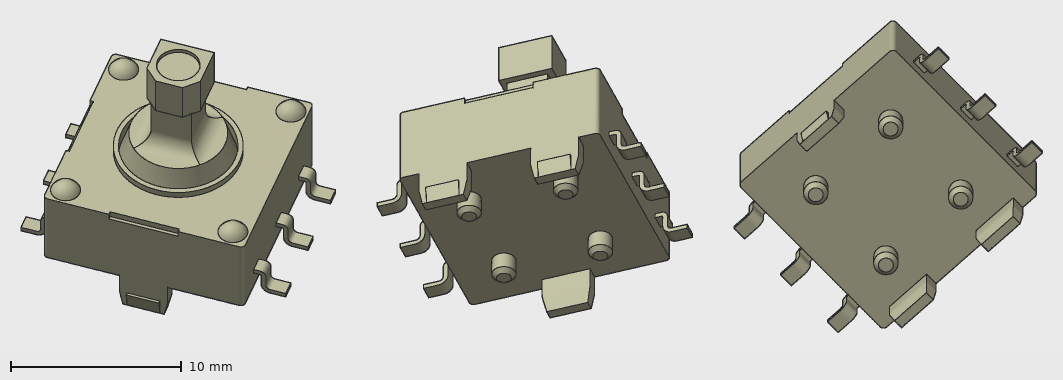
import cadquery as cq
import math

total_length = 16.4
total_depth = 12.8
total_height = 14.5

housing_side = 12.43
housing_height = 4.95
housing_corner_radius = 0.28
notch_length = 4.28
notch_height = 0.4
notch_depth = 0.21

collar_diameter = 7.61
collar_height = 0.41
collar_bore = 6.99
cone_top_diameter = 5.79
cone_top_z = 6.45
cone_slope = 0.32

neck_side = 2.53
neck_flare_radius = 1.0
head_side = 3.31
head_height = 2.5
head_corner_chamfer = 0.82
head_recess_diameter = 2.55
head_recess_depth = 0.25

dome_diameter = 1.75
dome_height = 0.55
dome_offset = 5.18

tab_width = 2.98
tab_thickness = 0.82
tab_height = 2.33
tab_taper = 0.21
tab_taper_height = 1.03
tab_blend_radius = 2.46
catch_width = 2.03
rear_tab_offset = 3.48

post_diameter = 1.43
post_height = 1.31
post_chamfer = 0.28
post_offset = 3.0

lead_width = 0.92
lead_pitch = 4.0
lead_thickness = 0.3
lead_top_z = 1.41
lead_foot_z = -0.23
lead_riser_x = 6.97
lead_upper_bend = 0.07
lead_lower_bend = 0.28

half_side = housing_side / 2
head_top_z = total_height - tab_height
head_bottom_z = head_top_z - head_height
catch_depth = (total_depth - housing_side) / 2
cone_bottom_z = cone_top_z - (collar_bore - cone_top_diameter) / 2 / cone_slope


def make_housing():
    """Square box with rounded upright edges and three notches in its upper rim."""
    housing = cq.Workplane("XY").box(housing_side, housing_side, housing_height, centered=(True, True, False))
    housing = housing.edges("|Z").fillet(housing_corner_radius)
    notch = cq.Workplane("XY").box(notch_length, 2 * notch_depth, 2 * notch_height)
    notch = notch.translate((0, -half_side, housing_height))
    for angle in (0, 180, 270):
        housing = housing.cut(notch.rotate((0, 0, 0), (0, 0, 1), angle))
    return housing


def make_collar():
    return cq.Workplane("XY", origin=(0, 0, housing_height)).circle(collar_diameter / 2).extrude(collar_height)


def make_cone_well():
    """Round well through the collar, down to where the cone meets its wall."""
    height = housing_height + collar_height - cone_bottom_z
    return cq.Workplane("XY", origin=(0, 0, cone_bottom_z)).circle(collar_bore / 2).extrude(height)


def make_cone():
    profile = [
        (0, cone_bottom_z),
        (collar_bore / 2, cone_bottom_z),
        (cone_top_diameter / 2, cone_top_z),
        (0, cone_top_z),
    ]
    return cq.Workplane("XZ").polyline(profile).close().revolve(360, (0, 0), (0, 1))


def flared_neck_profile(plane):
    """Neck silhouette swept straight across, with concave flares at its foot."""
    half_neck = neck_side / 2
    half_foot = half_neck + neck_flare_radius
    flare_top_z = cone_top_z + neck_flare_radius
    inset = neck_flare_radius * (1 - math.sqrt(0.5))
    return (
        cq.Workplane(plane)
        .moveTo(-half_foot, cone_top_z)
        .lineTo(half_foot, cone_top_z)
        .threePointArc((half_neck + inset, cone_top_z + inset), (half_neck, flare_top_z))
        .lineTo(half_neck, head_bottom_z)
        .lineTo(-half_neck, head_bottom_z)
        .lineTo(-half_neck, flare_top_z)
        .threePointArc((-half_neck - inset, cone_top_z + inset), (-half_foot, cone_top_z))
        .close()
        .extrude(half_foot, both=True)
    )


def make_neck():
    """Square neck flared on four sides and trimmed to the rim of the cone."""
    rim = cq.Workplane("XY", origin=(0, 0, cone_top_z)).circle(cone_top_diameter / 2)
    rim = rim.extrude(head_bottom_z - cone_top_z)
    return flared_neck_profile("XZ").intersect(flared_neck_profile("YZ")).intersect(rim)


def make_head():
    """Square head with its two -Y corners cut off and a round recess on top."""
    head = cq.Workplane("XY", origin=(0, 0, head_bottom_z)).rect(head_side, head_side).extrude(head_height)
    head = head.edges("|Z and <Y").chamfer(head_corner_chamfer)
    return head.faces(">Z").workplane().hole(head_recess_diameter, head_recess_depth)


def make_domes():
    dome_radius = dome_diameter / 2
    sphere_radius = (dome_radius**2 + dome_height**2) / (2 * dome_height)
    top_z = housing_height + dome_height
    spacing = 2 * dome_offset
    cap = cq.Workplane("XY").sphere(sphere_radius).translate((0, 0, top_z - sphere_radius))
    cap = cap.intersect(
        cq.Workplane("XY", origin=(0, 0, housing_height)).circle(sphere_radius).extrude(dome_height)
    )
    return cq.Workplane("XY").rarray(spacing, spacing, 2, 2).eachpoint(lambda place: cap.val().moved(place))


def make_tab():
    """Tab on the -Y side: tapered on its sides and inner face, with a wedge catch outside."""
    half_width = tab_width / 2
    outer_y = -half_side
    inner_y = outer_y + tab_thickness
    taper_z = tab_taper_height - tab_height
    front = (
        cq.Workplane("XZ", origin=(0, outer_y, 0))
        .polyline([
            (-half_width, 0),
            (-half_width, taper_z),
            (-half_width + tab_taper, -tab_height),
            (half_width - tab_taper, -tab_height),
            (half_width, taper_z),
            (half_width, 0),
        ])
        .close()
        .extrude(-tab_thickness)
    )
    side = (
        cq.Workplane("YZ")
        .polyline([
            (outer_y, 0),
            (outer_y, -tab_height),
            (inner_y - tab_taper, -tab_height),
            (inner_y, taper_z),
            (inner_y, 0),
        ])
        .close()
        .extrude(half_width, both=True)
    )
    blend_edge = cq.selectors.NearestToPointSelector((0, inner_y, taper_z))
    side = side.edges(blend_edge).fillet(tab_blend_radius)
    catch = (
        cq.Workplane("YZ")
        .polyline([
            (outer_y, taper_z),
            (outer_y - catch_depth, taper_z),
            (outer_y, -tab_height),
        ])
        .close()
        .extrude(catch_width / 2, both=True)
    )
    return front.intersect(side).union(catch)


def make_posts():
    spacing = 2 * post_offset
    posts = cq.Workplane("XY").rarray(spacing, spacing, 2, 2).circle(post_diameter / 2).extrude(-post_height)
    return posts.faces("<Z").edges().chamfer(post_chamfer)


def make_lead():
    """Gull-wing lead on the +X side, centred on Y = 0."""
    riser_inner_x = lead_riser_x - lead_thickness
    lead = (
        cq.Workplane("XZ")
        .polyline([
            (half_side, lead_top_z),
            (lead_riser_x, lead_top_z),
            (lead_riser_x, lead_foot_z + lead_thickness),
            (total_length / 2, lead_foot_z + lead_thickness),
            (total_length / 2, lead_foot_z),
            (riser_inner_x, lead_foot_z),
            (riser_inner_x, lead_top_z - lead_thickness),
            (half_side, lead_top_z - lead_thickness),
        ])
        .close()
        .extrude(lead_width / 2, both=True)
    )
    bends = [
        (lead_riser_x, lead_top_z, lead_upper_bend + lead_thickness),
        (riser_inner_x, lead_top_z - lead_thickness, lead_upper_bend),
        (lead_riser_x, lead_foot_z + lead_thickness, lead_lower_bend),
        (riser_inner_x, lead_foot_z, lead_lower_bend + lead_thickness),
    ]
    for x, z, radius in bends:
        lead = lead.edges(cq.selectors.NearestToPointSelector((x, 0, z))).fillet(radius)
    return lead


result = make_housing().union(make_collar()).cut(make_cone_well()).union(make_cone())
result = result.union(make_neck()).union(make_head()).union(make_domes()).union(make_posts())

front_tab = make_tab()
rear_tab = front_tab.mirror("XZ")
result = result.union(front_tab)
for side in (-1, 1):
    result = result.union(rear_tab.translate((side * rear_tab_offset, 0, 0)))

right_lead = make_lead()
left_lead = right_lead.mirror("YZ")
for row in (-1, 0, 1):
    for lead in (left_lead, right_lead):
        result = result.union(lead.translate((0, row * lead_pitch, 0)))